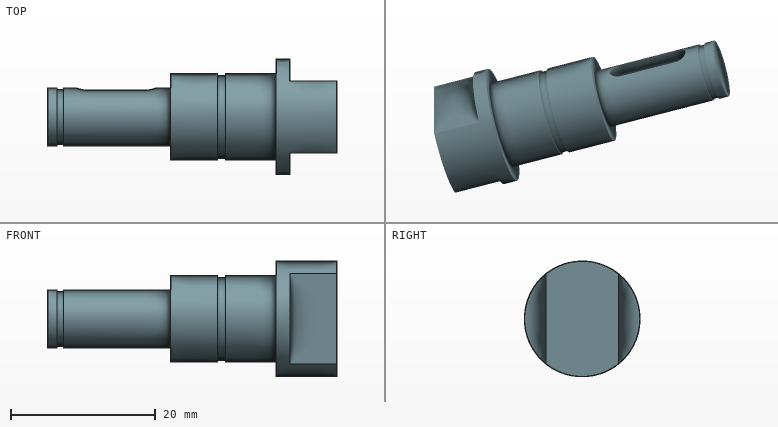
import cadquery as cq

shaft_diameter = 8.0
shaft_length = 17.0
journal_diameter = 12.0
head_diameter = 16.0
head_length = 8.4
total_length = 40.0
head_start = total_length - head_length

shaft_groove_start = 1.3
shaft_groove_width = 0.9
shaft_groove_diameter = 7.6
journal_groove_start = 23.5
journal_groove_width = 1.1
journal_groove_diameter = 11.5

flats_across = 10.0
flats_length = 6.5

keyway_start = 4.0
keyway_length = 11.0
keyway_width = 3.0
keyway_depth = 1.8


def cylinder(start, end, diameter):
    """Cylinder on the X axis between two X positions."""
    return cq.Workplane("YZ").workplane(offset=start).circle(diameter / 2).extrude(end - start)


def groove(start, width, outer_diameter, floor_diameter):
    """Ring of material to remove for a retaining-ring groove."""
    end = start + width
    return cylinder(start, end, outer_diameter).cut(cylinder(start, end, floor_diameter))


def wrench_flat(side):
    """Block that cuts one head flat; side is +1 or -1 along Y."""
    block_depth = (head_diameter - flats_across) / 2
    return cq.Workplane("XY").box(flats_length, block_depth, head_diameter).translate(
        (total_length - flats_length / 2, side * (flats_across + block_depth) / 2, 0)
    )


def keyway():
    """Slot cutter running from outside the shaft's +Y side down to the keyway floor."""
    floor_y = shaft_diameter / 2 - keyway_depth
    center_x = keyway_start + keyway_length / 2
    return (
        cq.Workplane("XZ", origin=(center_x, floor_y, 0))
        .slot2D(keyway_length, keyway_width)
        .extrude(-keyway_depth)
    )


body = cylinder(0, shaft_length, shaft_diameter)
body = body.union(cylinder(shaft_length, head_start, journal_diameter))
body = body.union(cylinder(head_start, total_length, head_diameter))

body = body.cut(groove(shaft_groove_start, shaft_groove_width, shaft_diameter, shaft_groove_diameter))
body = body.cut(groove(journal_groove_start, journal_groove_width, journal_diameter, journal_groove_diameter))
for side in (1, -1):
    body = body.cut(wrench_flat(side))

result = body.cut(keyway())